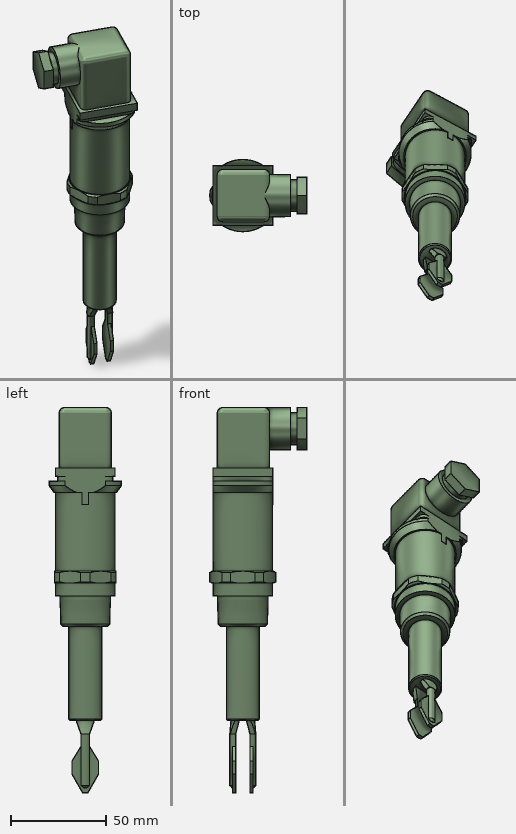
import cadquery as cq
import math


ROD_END_Z = 2.6
PRONG_ROOT_Z = 31.0
TUBE_END_Z = 38.0
THREAD_END_Z = 87.4
THREAD_TOP_Z = 101.4
COLLAR_END_Z = 103.4
HEX_BOTTOM_Z = 110.0
HEX_TOP_Z = 116.3
RIB_END_Z = 151.3
CONE_BOTTOM_Z = 157.5
CONE_TOP_Z = 161.2
FLANGE_TOP_Z = 163.7
PLATE_BOTTOM_Z = 166.0
PLATE_TOP_Z = 170.5
TOP_Z = 202.3

TUBE_RADIUS = 8.7
TUBE_CHAMFER = 0.6
THREAD_TOP_RADIUS = 13.4
THREAD_END_RADIUS = 13.0
THREAD_CHAMFER = 1.2
BODY_RADIUS = 31.4 / 2
CONE_BOTTOM_RADIUS = 16.4
FLANGE_RADIUS = 19.0
RIB_WIDTH = 3.2

HEX_SIDES = 6
HEX_FLATS = 32.4
HEX_CORNER_RADIUS = 17.4
HEX_CHAMFER_ANGLE = 30.0

PLATE_LENGTH = 31.5
PLATE_WIDTH = 2 * BODY_RADIUS
NECK_WIDTH = 29.1
NECK_FILLET = 4.0

HOUSING_SIDE = 27.5
HOUSING_SHIFT = 0.3
HOUSING_FILLET = 3.0

GLAND_RADIUS = 11.1
GLAND_END_X = 25.0
GLAND_NECK_RADIUS = 8.5
NUT_START_X = 28.5
NUT_END_X = 33.5

PRONG_INNER_X = 3.6
PADDLE_THICKNESS = 1.8
ROD_RADIUS = 4.7 / 2
ROD_OUTER_X = 6.9
ROD_CHAMFER = 1.2
PADDLE_HALF_WIDTH = 7.0
PADDLE_TIP_HALF_WIDTH = 1.5
PADDLE_TOP_Z = 24.3
PADDLE_SHOULDER_Z = 16.5
PADDLE_HIP_Z = 10.0
ROOT_INNER_X = 1.8
ROOT_OUTER_RADIUS = 6.3
ROOT_HALF_WIDTH = 4.9


def box_between(x_size, y_size, z_low, z_high):
    """Box centred on the main axis between two heights."""
    return cq.Workplane("XY").workplane(offset=z_low).rect(x_size, y_size).extrude(z_high - z_low)


def turn(profile):
    """Solid of revolution about the main axis from (radius, height) points."""
    return cq.Workplane("XZ").polyline(profile).close().revolve(360, (0, 0), (0, 1))


def make_body():
    """Tube, tapered thread, collar and cylinder as one turned shape."""
    profile = [
        (0, TUBE_END_Z),
        (TUBE_RADIUS - TUBE_CHAMFER, TUBE_END_Z),
        (TUBE_RADIUS, TUBE_END_Z + TUBE_CHAMFER),
        (TUBE_RADIUS, THREAD_END_Z),
        (THREAD_END_RADIUS - THREAD_CHAMFER, THREAD_END_Z),
        (THREAD_END_RADIUS, THREAD_END_Z + THREAD_CHAMFER),
        (THREAD_TOP_RADIUS, THREAD_TOP_Z),
        (THREAD_TOP_RADIUS, COLLAR_END_Z),
        (BODY_RADIUS, COLLAR_END_Z),
        (BODY_RADIUS, CONE_TOP_Z),
        (0, CONE_TOP_Z),
    ]
    return turn(profile)


def make_hexagon():
    """Hexagon with corners on X, its corners turned round and chamfered above and below."""
    height = HEX_TOP_Z - HEX_BOTTOM_Z
    corner_to_corner = HEX_FLATS / math.cos(math.pi / HEX_SIDES)
    hexagon = cq.Workplane("XY").workplane(offset=HEX_BOTTOM_Z)
    hexagon = hexagon.polygon(HEX_SIDES, corner_to_corner).extrude(height)
    flat_radius = HEX_FLATS / 2
    drop = (HEX_CORNER_RADIUS - flat_radius) * math.tan(math.radians(HEX_CHAMFER_ANGLE))
    turned_profile = [
        (0, HEX_BOTTOM_Z),
        (flat_radius, HEX_BOTTOM_Z),
        (HEX_CORNER_RADIUS, HEX_BOTTOM_Z + drop),
        (HEX_CORNER_RADIUS, HEX_TOP_Z - drop),
        (flat_radius, HEX_TOP_Z),
        (0, HEX_TOP_Z),
    ]
    turned = turn(turned_profile)
    return hexagon.intersect(turned)


def make_connector_base():
    """Cone, flange and neck cut flush with the X sides of the square plate on top."""
    profile = [
        (0, CONE_BOTTOM_Z),
        (CONE_BOTTOM_RADIUS, CONE_BOTTOM_Z),
        (FLANGE_RADIUS, CONE_TOP_Z),
        (FLANGE_RADIUS, FLANGE_TOP_Z),
        (0, FLANGE_TOP_Z),
    ]
    flange = turn(profile)
    flange = flange.intersect(box_between(PLATE_LENGTH, 2 * FLANGE_RADIUS, CONE_BOTTOM_Z, FLANGE_TOP_Z))
    neck = box_between(PLATE_LENGTH, NECK_WIDTH, FLANGE_TOP_Z, PLATE_BOTTOM_Z).edges("|Z").fillet(NECK_FILLET)
    plate = box_between(PLATE_LENGTH, PLATE_WIDTH, PLATE_BOTTOM_Z, PLATE_TOP_Z)
    ribs = box_between(PLATE_LENGTH, RIB_WIDTH, RIB_END_Z, CONE_TOP_Z)
    return flange.union(neck).union(plate).union(ribs)


def make_housing():
    """Square plug housing with rounded upright and top edges."""
    housing = box_between(HOUSING_SIDE, HOUSING_SIDE, PLATE_TOP_Z, TOP_Z)
    housing = housing.edges("|Z or >Z").fillet(HOUSING_FILLET)
    return housing.translate((HOUSING_SHIFT, 0, 0))


def make_gland():
    """Cable gland and its nut, level with the housing top."""
    axis_z = TOP_Z - GLAND_RADIUS
    start_x = HOUSING_SHIFT + HOUSING_SIDE / 2 - HOUSING_FILLET

    def at(x):
        return cq.Workplane("YZ", origin=(x, 0, axis_z))

    barrel = at(start_x).circle(GLAND_RADIUS).extrude(GLAND_END_X - start_x)
    neck = at(start_x).circle(GLAND_NECK_RADIUS).extrude(NUT_END_X - start_x)
    nut = at(NUT_START_X).transformed(rotate=(0, 0, 90)).polygon(HEX_SIDES, 2 * GLAND_RADIUS)
    nut = nut.extrude(NUT_END_X - NUT_START_X)
    return barrel.union(neck).union(nut)


def make_prong():
    """Prong on the +X side: rod, paddle and the widened root under the tube."""
    rod = cq.Workplane("XY", origin=(ROD_OUTER_X - ROD_RADIUS, 0, ROD_END_Z))
    rod = rod.circle(ROD_RADIUS).extrude(PRONG_ROOT_Z - ROD_END_Z).faces("<Z").chamfer(ROD_CHAMFER)
    rod = rod.cut(box_between(2 * PRONG_INNER_X, 2 * ROD_RADIUS, 0, PRONG_ROOT_Z))

    right_half = [
        (PADDLE_TIP_HALF_WIDTH, 0),
        (PADDLE_HALF_WIDTH, PADDLE_HIP_Z),
        (PADDLE_HALF_WIDTH, PADDLE_SHOULDER_Z),
        (ROD_RADIUS, PADDLE_TOP_Z),
    ]
    left_half = [(-y, z) for y, z in reversed(right_half)]
    paddle = cq.Workplane("YZ", origin=(PRONG_INNER_X, 0, 0)).polyline(right_half + left_half).close()
    paddle = paddle.extrude(PADDLE_THICKNESS)

    bend_profile = [
        (PRONG_INNER_X, PRONG_ROOT_Z),
        (ROD_OUTER_X, PRONG_ROOT_Z),
        (ROOT_OUTER_RADIUS, TUBE_END_Z),
        (ROOT_INNER_X, TUBE_END_Z),
    ]
    bend = cq.Workplane("XZ").polyline(bend_profile).close().extrude(ROOT_HALF_WIDTH, both=True)
    cone_profile = [
        (0, PRONG_ROOT_Z),
        (ROD_OUTER_X, PRONG_ROOT_Z),
        (ROOT_OUTER_RADIUS, TUBE_END_Z),
        (0, TUBE_END_Z),
    ]
    cone = turn(cone_profile)
    taper_profile = [
        (-ROD_RADIUS, PRONG_ROOT_Z),
        (ROD_RADIUS, PRONG_ROOT_Z),
        (ROOT_HALF_WIDTH, TUBE_END_Z),
        (-ROOT_HALF_WIDTH, TUBE_END_Z),
    ]
    taper = cq.Workplane("YZ").polyline(taper_profile).close().extrude(ROD_OUTER_X)
    root = bend.intersect(cone).intersect(taper)
    return rod.union(paddle).union(root)


prong = make_prong()
result = make_body()
for part in (
    make_hexagon(),
    make_connector_base(),
    make_housing(),
    make_gland(),
    prong,
    prong.mirror("YZ"),
):
    result = result.union(part)